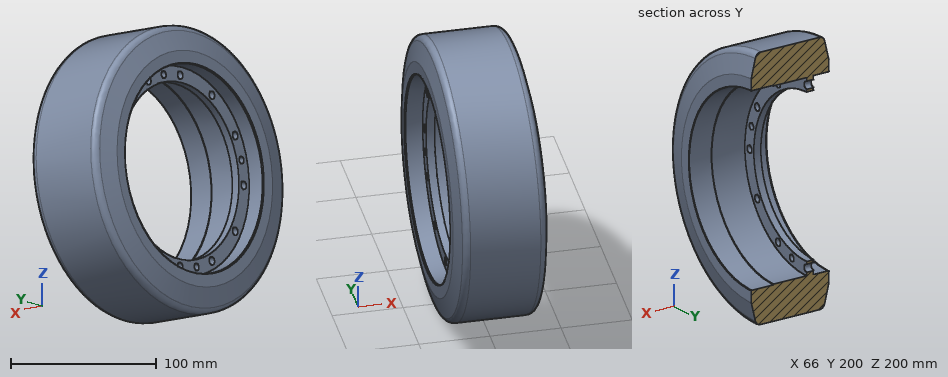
import cadquery as cq

outer_diameter = 200.0
width = 66.0
half_width = width / 2
outer_radius = outer_diameter / 2

side_face_radius = 82.0
shoulder_inset = 4.4
tread_fillet = 5.0

mouth_radius = 146.5 / 2
front_bore_radius = 145.5 / 2
rear_bore_radius = 145.0 / 2
rear_counterbore_radius = 146.0 / 2
front_chamfer_depth = 1.0
flange_front = -20.0
flange_thickness = 6.0
flange_back = flange_front + flange_thickness
flange_bore_radius = 124.0 / 2
rear_step = 14.0
rear_chamfer_depth = 0.4

bolt_circle_radius = 67.0
bolt_hole_diameter = 5.5
bolt_hole_count = 12
pin_hole_diameter = 5.0
pin_hole_count = 4
pin_hole_start_angle = -15.0


def revolve_about_x(points):
    """Revolve a closed outline of (x, radius) points around the X axis."""
    return cq.Workplane("XY").polyline(points).close().revolve(360, (0, 0, 0), (1, 0, 0))


def make_tyre():
    """Solid tyre body with sloping shoulders and rounded tread edges."""
    tread_half_width = half_width - shoulder_inset
    body = revolve_about_x([
        (-half_width, 0),
        (-half_width, side_face_radius),
        (-tread_half_width, outer_radius),
        (tread_half_width, outer_radius),
        (half_width, side_face_radius),
        (half_width, 0),
    ])
    tread_edges = cq.selectors.RadiusNthSelector(-1)
    return body.edges(tread_edges).fillet(tread_fillet)


def make_opening():
    """Space inside the ring, on both sides of the flange and through it."""
    return revolve_about_x([
        (-half_width, 0),
        (-half_width, mouth_radius),
        (-half_width + front_chamfer_depth, front_bore_radius),
        (flange_front, front_bore_radius),
        (flange_front, flange_bore_radius),
        (flange_back, flange_bore_radius),
        (flange_back, rear_bore_radius),
        (rear_step, rear_bore_radius),
        (rear_step, rear_counterbore_radius),
        (half_width - rear_chamfer_depth, rear_counterbore_radius),
        (half_width, mouth_radius),
        (half_width, 0),
    ])


def make_flange_holes(diameter, count, start_angle):
    """Equally spaced cylinders that pass through the flange."""
    return (
        cq.Workplane("YZ", origin=(flange_front, 0, 0))
        .polarArray(bolt_circle_radius, start_angle, 360, count)
        .circle(diameter / 2)
        .extrude(flange_thickness)
    )


bolt_holes = make_flange_holes(bolt_hole_diameter, bolt_hole_count, 0)
pin_holes = make_flange_holes(pin_hole_diameter, pin_hole_count, pin_hole_start_angle)

result = make_tyre().cut(make_opening()).cut(bolt_holes).cut(pin_holes)